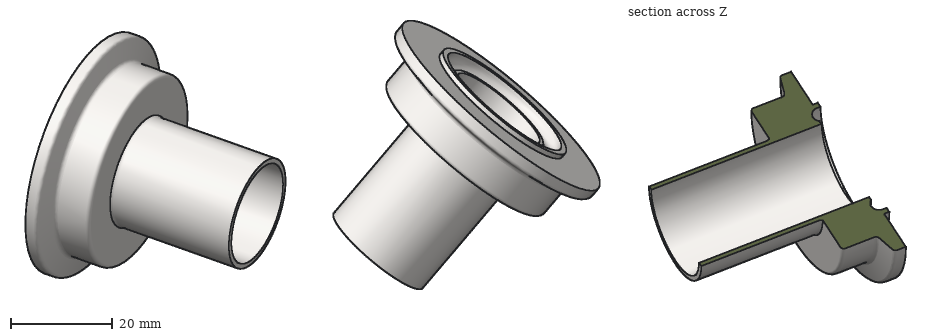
import cadquery as cq
import math

length = 39.5
bore_radius = 10.45
tube_radius = 11.5

flange_radius = 25.25
flange_front = 1.1
flange_rim_end = 3.7
back_slope = math.radians(15)
hub_radius = 20.25
hub_end = 12.8
edge_fillet = 0.8

face_radius = 15.75
groove_outer_radius = 14.5
lip_radius = 11.35
groove_straight_depth = 0.8
lip_recess = 1.8

blend_height = 0.25
blend_length = 0.8

slope_end = flange_rim_end + (flange_radius - hub_radius) * math.tan(back_slope)
blend_end = hub_end + blend_length
blend_radius = (blend_length**2 + blend_height**2) / (2 * blend_height)
blend_mid_x = blend_end - blend_length / 2
blend_mid_radius = tube_radius + blend_radius - math.sqrt(blend_radius**2 - (blend_length / 2)**2)

groove_width = groove_outer_radius - lip_radius
lip_offset = lip_recess - groove_straight_depth
groove_round = (groove_width**2 + lip_offset**2) / (2 * groove_width)
groove_center_radius = groove_outer_radius - groove_round
groove_bottom = groove_straight_depth + groove_round

profile = (
    cq.Workplane("XY")
    .moveTo(lip_recess, bore_radius)
    .lineTo(length, bore_radius)
    .lineTo(length, tube_radius)
    .lineTo(blend_end, tube_radius)
    .threePointArc((blend_mid_x, blend_mid_radius), (hub_end, tube_radius + blend_height))
    .lineTo(hub_end, hub_radius)
    .lineTo(slope_end, hub_radius)
    .lineTo(flange_rim_end, flange_radius)
    .lineTo(flange_front, flange_radius)
    .lineTo(flange_front, face_radius)
    .lineTo(0, face_radius)
    .lineTo(0, groove_outer_radius)
    .lineTo(groove_straight_depth, groove_outer_radius)
    .threePointArc((groove_bottom, groove_center_radius), (lip_recess, lip_radius))
    .close()
)
body = profile.revolve(360, (0, 0, 0), (1, 0, 0))


def round_edge(solid, x, radius):
    """Fillet the circular edge at the given axial position and radius."""
    tolerance = 0.0005
    circles = solid.edges("%CIRCLE").filter(
        lambda edge: abs(edge.Center().x - x) < tolerance and abs(edge.radius() - radius) < tolerance
    )
    return circles.fillet(edge_fillet)


body = round_edge(body, flange_rim_end, flange_radius)
body = round_edge(body, slope_end, hub_radius)
result = round_edge(body, hub_end, hub_radius)